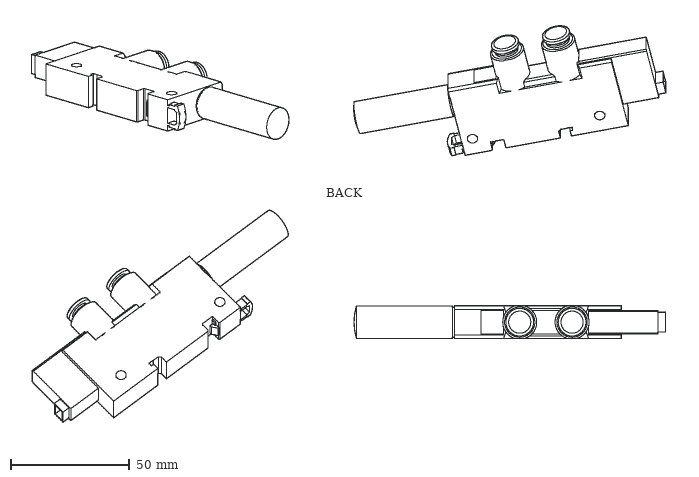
import cadquery as cq


total_length = 131.8
total_depth = 48.1
body_height = 14.0

body_start_x = 18.7
body_end_x = 89.4
body_depth = 33.9
body_chamfer_y = 0.8
body_chamfer_z = 1.6
mount_hole_diameter = 4.4
mount_hole_y = 7.6
mount_hole_xs = (29.4, 84.5)

coil_start_x = 3.3
coil_front_y = 9.9
coil_back_y = 35.0
coil_height = 10.0
coil_chamfer_y = 0.8
coil_chamfer_z = 0.4
strip_depth = 2.6
short_strip_end_x = 78.0
short_strip_back_y = 34.1

connector_front_y = 11.1
connector_back_y = 16.7
connector_height = 8.5
connector_wall = 0.7

cylinder_diameter = 13.8
cylinder_neck_diameter = 12.8
cylinder_y = 24.0
cylinder_neck_length = 0.8
cylinder_dome = 1.0

recess_start_x = 32.6
recess_end_x = 68.5
recess_y = 27.8
recess_side_depth = 3.0
recess_side_lean = 1.0
bridge_back_y = 31.1
bridge_height = 11.6
bridge_chamfer = 0.8

fitting_xs = (39.5, 61.7)
fitting_diameter = 14.4
fitting_rim_diameter = 12.8
fitting_rim_y = 44.0
fitting_rim_drop = 0.4
collar_diameter = 10.0
collar_back_y = 45.0
collar_taper = 0.4
neck_diameter = 8.0
flange_diameter = 11.7
flange_front_y = 46.3
flange_chamfer_y = 0.4
flange_chamfer_radius = 1.2

slot_depth = 4.4
fixed_floor_y = 4.2
fixed_slot_start_x = 43.4
fixed_slot_end_x = 48.1
undercut_length = 1.2
undercut_front_y = 2.8
undercut_end_x = 44.4
slot_corner = 0.9
latch_slot_start_x = 71.7
latch_slot_end_x = 77.5
latch_slot_bevel = 0.4

latch_back_y = 4.0
latch_height = 10.0
slider_start_x = 76.9
slider_front_y = 2.0
hook_tip_x = 75.3
hook_height = 6.2
hook_back_y = 3.3
hook_nose_y = 2.4
hook_heel_x = 77.1
hook_front_y = 0.1
loop_flare_x = 93.3
loop_flare_height = 11.0
loop_corner_x = 95.0
loop_end_x = 96.3
window_height = 6.9
window_bevel_x = 93.1
window_end_x = 94.4
window_end_height = 4.9
grip_depth = 0.4
relief_length = 0.8
relief_depth = 2.0
relief_inner_height = 9.0


def box(x0, x1, y0, y1, height):
    """Box between two X and two Y limits, centred on the mid-plane."""
    return cq.Workplane("XY").box(x1 - x0, y1 - y0, height).translate(((x0 + x1) / 2, (y0 + y1) / 2, 0))


def prism(points, height):
    """Closed XY outline extruded evenly about the mid-plane."""
    return cq.Workplane("XY").polyline(points).close().extrude(height / 2, both=True)


def bar_along_x(x0, x1, y0, y1, height, chamfer_y, chamfer_z):
    """Bar along X whose two back edges are bevelled."""
    half = height / 2
    return (
        cq.Workplane("YZ", origin=(x0, 0, 0))
        .moveTo(y0, -half)
        .lineTo(y1 - chamfer_y, -half)
        .lineTo(y1, -half + chamfer_z)
        .lineTo(y1, half - chamfer_z)
        .lineTo(y1 - chamfer_y, half)
        .lineTo(y0, half)
        .close()
        .extrude(x1 - x0)
    )


def make_recess():
    """Recess behind the ports, its end walls leaning inward below each face."""
    half = body_height / 2
    deep = half - recess_side_depth
    inner_start = recess_start_x + recess_side_lean
    inner_end = recess_end_x - recess_side_lean
    outline = [
        (recess_start_x, half), (recess_end_x, half),
        (inner_end, deep), (inner_end, -deep),
        (recess_end_x, -half), (recess_start_x, -half),
        (inner_start, -deep), (inner_start, deep),
    ]
    return (
        cq.Workplane("XZ", origin=(0, recess_y, 0))
        .polyline(outline)
        .close()
        .extrude(recess_y - total_depth)
    )


def make_fixed_slot():
    """Rail slot with an undercut on one side and a bevelled corner on the other."""
    undercut_x = fixed_slot_start_x - undercut_length
    return prism([
        (fixed_slot_start_x, 0), (fixed_slot_start_x, undercut_front_y),
        (undercut_x, undercut_front_y), (undercut_x, slot_depth),
        (undercut_end_x, slot_depth), (undercut_end_x, fixed_floor_y),
        (fixed_slot_end_x - slot_corner, fixed_floor_y),
        (fixed_slot_end_x, fixed_floor_y - slot_corner), (fixed_slot_end_x, 0),
    ], body_height)


def make_latch_slot():
    """Rail slot for the latch, bevelled at the mouth and at the inner fixed corner."""
    return prism([
        (latch_slot_start_x - latch_slot_bevel, 0), (latch_slot_start_x, latch_slot_bevel),
        (latch_slot_start_x, slot_depth - latch_slot_bevel),
        (latch_slot_start_x + latch_slot_bevel, slot_depth), (latch_slot_end_x, slot_depth),
        (latch_slot_end_x, latch_slot_bevel), (latch_slot_end_x + latch_slot_bevel, 0),
    ], body_height)


def make_body():
    body = bar_along_x(
        body_start_x, body_end_x, 0, body_depth, body_height, body_chamfer_y, body_chamfer_z
    )
    short_strip = box(
        recess_end_x, short_strip_end_x, body_depth - strip_depth, short_strip_back_y, coil_height
    )
    body = body.union(short_strip).cut(make_recess())
    bridge = bar_along_x(
        fitting_xs[0], fitting_xs[1], recess_y, bridge_back_y, bridge_height, bridge_chamfer, bridge_chamfer
    )
    body = body.union(bridge).cut(make_fixed_slot()).cut(make_latch_slot())
    holes = (
        cq.Workplane("XY")
        .pushPoints([(x, mount_hole_y) for x in mount_hole_xs])
        .circle(mount_hole_diameter / 2)
        .extrude(body_height / 2, both=True)
    )
    return body.cut(holes)


def make_coil():
    """Coil block, and the strip that carries its back edge along to the recess."""
    block = bar_along_x(
        coil_start_x, body_start_x, coil_front_y, coil_back_y, coil_height, coil_chamfer_y, coil_chamfer_z
    )
    strip = bar_along_x(
        body_start_x, recess_start_x, coil_back_y - strip_depth, coil_back_y,
        coil_height, coil_chamfer_y, coil_chamfer_z,
    )
    return block.union(strip)


def make_connector():
    """Rectangular socket, open at its outer end."""
    shell = box(0, coil_start_x, connector_front_y, connector_back_y, connector_height)
    cavity = box(
        0, coil_start_x, connector_front_y + connector_wall, connector_back_y - connector_wall,
        connector_height - 2 * connector_wall,
    )
    return shell.cut(cavity)


def make_cylinder():
    """Necked round cylinder with a shallow domed end."""
    radius = cylinder_diameter / 2
    neck_radius = cylinder_neck_diameter / 2
    neck_end_x = body_end_x + cylinder_neck_length
    dome_radius = (radius**2 + cylinder_dome**2) / (2 * cylinder_dome)
    dome_mid_r = radius / 2
    dome_mid_x = total_length - dome_radius + (dome_radius**2 - dome_mid_r**2) ** 0.5
    return (
        cq.Workplane("XY", origin=(0, cylinder_y, 0))
        .moveTo(body_end_x, 0)
        .lineTo(body_end_x, neck_radius)
        .lineTo(neck_end_x, neck_radius)
        .lineTo(neck_end_x, radius)
        .lineTo(total_length - cylinder_dome, radius)
        .threePointArc((dome_mid_x, dome_mid_r), (total_length, 0))
        .close()
        .revolve(360, (0, 0, 0), (1, 0, 0))
    )


def make_fitting(x):
    """Round port with a flanged release collar, flattened level with the body faces."""
    profile = [
        (0, recess_y),
        (fitting_diameter / 2, recess_y),
        (fitting_diameter / 2, fitting_rim_y - fitting_rim_drop),
        (fitting_rim_diameter / 2, fitting_rim_y),
        (collar_diameter / 2, fitting_rim_y),
        (collar_diameter / 2, collar_back_y),
        (neck_diameter / 2, collar_back_y + collar_taper),
        (neck_diameter / 2, flange_front_y),
        (flange_diameter / 2, flange_front_y),
        (flange_diameter / 2, total_depth - flange_chamfer_y),
        (flange_diameter / 2 - flange_chamfer_radius, total_depth),
        (0, total_depth),
    ]
    fitting = cq.Workplane("XY").polyline(profile).close().revolve(360, (0, 0, 0), (0, 1, 0))
    flats = box(-fitting_diameter, fitting_diameter, 0, total_depth, body_height)
    return fitting.intersect(flats).translate((x, 0, 0))


def make_loop():
    """Pull loop with a flared, crowned end, an open window, a concave grip and relieved roots."""
    half = latch_height / 2
    flare = loop_flare_height / 2
    outer = (
        cq.Workplane("XZ")
        .moveTo(body_end_x, -half)
        .lineTo(loop_flare_x, -half)
        .lineTo(loop_flare_x, -flare)
        .lineTo(loop_corner_x, -flare)
        .threePointArc((loop_end_x, 0), (loop_corner_x, flare))
        .lineTo(loop_flare_x, flare)
        .lineTo(loop_flare_x, half)
        .lineTo(body_end_x, half)
        .close()
        .extrude(-latch_back_y)
    )
    window = (
        cq.Workplane("XZ")
        .moveTo(body_end_x, -window_height / 2)
        .lineTo(window_bevel_x, -window_height / 2)
        .lineTo(window_end_x, -window_end_height / 2)
        .lineTo(window_end_x, window_end_height / 2)
        .lineTo(window_bevel_x, window_height / 2)
        .lineTo(body_end_x, window_height / 2)
        .close()
        .extrude(-latch_back_y)
    )
    grip = (
        cq.Workplane("XY")
        .moveTo(loop_end_x, 0)
        .threePointArc((loop_end_x - grip_depth, latch_back_y / 2), (loop_end_x, latch_back_y))
        .close()
        .extrude(loop_flare_height / 2, both=True)
    )
    relief_end_x = body_end_x + relief_length
    relief = box(body_end_x, relief_end_x, 0, relief_depth, loop_flare_height).cut(
        box(body_end_x, relief_end_x, 0, relief_depth, relief_inner_height)
    )
    return outer.cut(window).cut(relief).cut(grip)


def make_hook():
    """Slider end and sloped hook reaching into the latch slot."""
    slider = box(slider_start_x, latch_slot_end_x, slider_front_y, latch_back_y, latch_height)
    hook = prism([
        (hook_heel_x, hook_front_y), (hook_tip_x, hook_nose_y), (hook_tip_x, hook_back_y),
        (latch_slot_end_x, hook_back_y), (latch_slot_end_x, hook_front_y),
    ], hook_height)
    return slider.union(hook)


result = make_body()
for piece in (make_coil(), make_connector(), make_cylinder(), make_loop(), make_hook()):
    result = result.union(piece)
for fitting_x in fitting_xs:
    result = result.union(make_fitting(fitting_x))